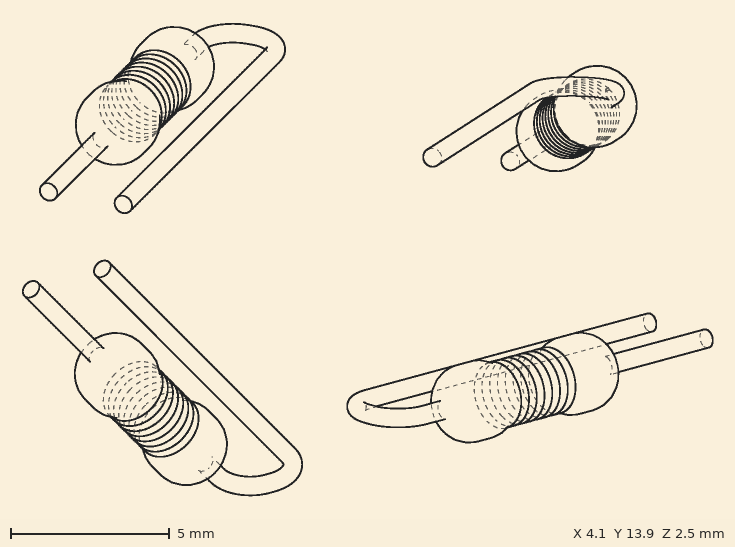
import cadquery as cq
import math

TOTAL_LENGTH = 13.9
BODY_CENTER_Y = 7.99
LEAD_SPACING = 2.55

LEAD_RADIUS = 0.6 / 2
BEND_RADIUS = 1.18
BEND_START_Y = TOTAL_LENGTH - LEAD_RADIUS - BEND_RADIUS

CAP_RADIUS = 2.5 / 2
WAIST_RADIUS = 2.13 / 2
BAND_RADIUS = 2.14 / 2
NECK_RADIUS = 1.04 / 2

WAIST_END = 1.2
FLARE_END = 1.93
DOME_START = 2.53
DOME_END = 3.42
NECK_END = 3.61

BAND_COUNT = 4
BAND_WIDTH = 2 * WAIST_END / (2 * BAND_COUNT - 1)


def make_caps():
    """Revolve one flared, domed cap with its concave neck and mirror it to the other end."""
    root_y = WAIST_END - BAND_WIDTH
    flare_middle = ((WAIST_RADIUS + CAP_RADIUS) / 2, (WAIST_END + FLARE_END) / 2)
    cap = (
        cq.Workplane("XY")
        .moveTo(0, root_y)
        .lineTo(WAIST_RADIUS, root_y)
        .lineTo(WAIST_RADIUS, WAIST_END)
        .tangentArcPoint(flare_middle, relative=False)
        .tangentArcPoint((CAP_RADIUS, FLARE_END), relative=False)
        .lineTo(CAP_RADIUS, DOME_START)
        .tangentArcPoint((NECK_RADIUS, DOME_END), relative=False)
    )
    neck_width = NECK_RADIUS - LEAD_RADIUS
    neck_length = NECK_END - DOME_END
    neck_middle = (
        NECK_RADIUS - neck_width * math.sin(math.pi / 4),
        NECK_END - neck_length * math.sin(math.pi / 4),
    )
    cap = (
        cap.threePointArc(neck_middle, (LEAD_RADIUS, NECK_END))
        .lineTo(0, NECK_END)
        .close()
        .revolve(360, (0, 0, 0), (0, 1, 0))
    )
    return cap.union(cap.mirror("XZ")).translate((0, BODY_CENTER_Y, 0))


def make_rod(radius, start_y, end_y):
    """Round rod on the body axis."""
    length = end_y - start_y
    rod = cq.Solid.makeCylinder(radius, length, cq.Vector(0, start_y, 0), cq.Vector(0, 1, 0))
    return cq.Workplane(rod)


def make_bend():
    """Sweep the folded lead through two quarter bends and down to its tip."""
    crest_y = BEND_START_Y + BEND_RADIUS
    second_bend_x = LEAD_SPACING - BEND_RADIUS
    diagonal = BEND_RADIUS * math.sin(math.pi / 4)
    path = (
        cq.Workplane("XY")
        .moveTo(0, BEND_START_Y)
        .threePointArc((BEND_RADIUS - diagonal, BEND_START_Y + diagonal), (BEND_RADIUS, crest_y))
        .lineTo(second_bend_x, crest_y)
        .threePointArc((second_bend_x + diagonal, BEND_START_Y + diagonal), (LEAD_SPACING, BEND_START_Y))
        .lineTo(LEAD_SPACING, 0)
    )
    start = cq.Plane(origin=(0, BEND_START_Y, 0), xDir=(1, 0, 0), normal=(0, 1, 0))
    return cq.Workplane(start).circle(LEAD_RADIUS).sweep(path)


result = make_rod(WAIST_RADIUS, BODY_CENTER_Y - WAIST_END, BODY_CENTER_Y + WAIST_END)
result = result.union(make_caps())

for index in range(BAND_COUNT):
    band_start = BODY_CENTER_Y - WAIST_END + 2 * index * BAND_WIDTH
    result = result.union(make_rod(BAND_RADIUS, band_start, band_start + BAND_WIDTH))

result = result.union(make_rod(LEAD_RADIUS, 0, BEND_START_Y))
result = result.union(make_bend())